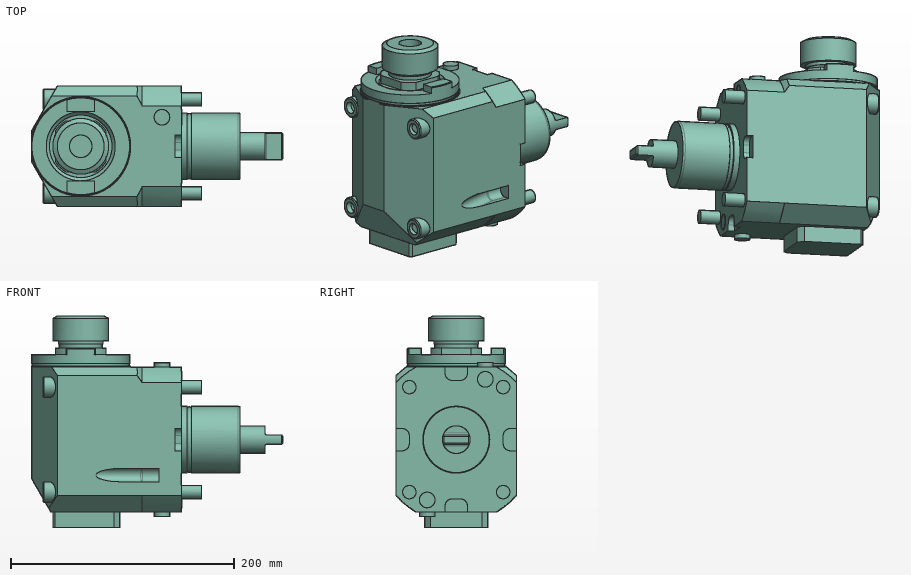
import cadquery as cq
import math


OVERALL_LENGTH = 225.0
OVERALL_HEIGHT = 189.56

HOUSING_LEFT = -44.0
MOUNT_X = 90.0
HALF_WIDTH = 54.0
HALF_HEIGHT = 65.0
FRONT_FLAT_HALF = 14.0
SLANT_ANGLE = 30.0
FRONT_SLOPE_HEIGHT = 30.0
EDGE_ANGLE = 40.0
TOP_BEVEL_HEIGHT = 7.5
BOTTOM_BEVEL_HEIGHT = 15.0
NECK_RADIUS = 74.4
NECK_START_X = 55.0

NOTCH_LENGTH = 5.6
NOTCH_WIDTH = 20.0
NOTCH_DEPTH = 12.0
NOTCH_CORNER_RADIUS = 6.5

GROOVE_RADIUS = 6.1
GROOVE_Z = -31.8
GROOVE_TIP_X = 13.7
GROOVE_BEND_X = 55.2
GROOVE_END_X = 70.2
GROOVE_TILT = 15.0

SCREW_Y = 42.0
SCREW_Z = 47.0
SCREW_HEAD_RADIUS = 9.2
SCREW_HEAD_X = -34.0
SCREW_HEAD_LENGTH = 14.0
SCREW_HEAD_CHAMFER = 1.0
SCREW_SOCKET_RADIUS = 5.2
SCREW_SOCKET_DEPTH = 5.5
SCREW_SOCKET_CONE = 3.0
SCREW_RADIUS = 6.0
SCREW_END_X = 108.2

PLUG_RADIUS = 7.0
PLUG_OFFSET_Y = 26.0
PLUG_X = 72.7
PLUG_PROUD = 4.0
END_PLUG_Z = 54.0
END_PLUG_PROUD = 0.6
EMBED_LENGTH = 5.0

SHANK_RADIUS = 30.0
SHANK_END_X = 142.6
SHANK_CHAMFER_LENGTH = 2.0
SHANK_CHAMFER_DEPTH = 0.5
RING_START_X = 95.3
RING_END_X = 99.1
RING_SIDE_RADIUS = 27.8
RING_CREST_RADIUS = 29.5
DRIVE_RADIUS = 12.4
DRIVE_SHOULDER_X = 165.0
TANG_THICKNESS = 8.6
TANG_CHAMFER = 1.3
TANG_END_X = HOUSING_LEFT + OVERALL_LENGTH
TANG_ROOT_FILLET = 1.5

FLANGE_RADIUS = 44.0
FLANGE_RIM_RADIUS = 44.7
FLANGE_RIM_TOP = 66.0
FLANGE_GROOVE_TOP = 68.0
FLANGE_GROOVE_RADIUS = 43.5
FLANGE_TOP = 76.0
RECESS_FLOOR_RADIUS = 28.0
RECESS_MOUTH_RADIUS = 30.9
RECESS_FLOOR = 73.0
KEY_WIDTH = 24.6
KEY_INNER_Y = 31.2
KEY_TOP = 82.0
KEY_CHAMFER = 0.7

NUT_RADIUS = 26.4
NUT_SEAT_Z = 74.5
NUT_FLATS = 45.6
NUT_TOP = KEY_TOP
UNDERCUT_RADIUS = 19.3
UNDERCUT_TOP = 85.5
COLLAR_RADIUS = 20.1
HEAD_BOTTOM = 88.4
HEAD_RADIUS = 25.0
HEAD_TOP = 110.75
HEAD_CHAMFER_WIDTH = 4.0
HEAD_CHAMFER_HEIGHT = 2.2
HEAD_BORE_RADIUS = 10.1
HEAD_BORE_DEPTH = 12.5

BASE_LEFT = -25.0
BASE_RIGHT = 35.0
BASE_HALF_WIDTH = 28.3
BASE_BOTTOM = HEAD_TOP - OVERALL_HEIGHT
BASE_LEFT_CHAMFER = 2.0
BASE_RIGHT_CHAMFER = 5.3


def cylinder_x(radius, x_start, x_end, y=0.0, z=0.0):
    """Cylinder along X between two X positions."""
    axis_start = cq.Vector(x_start, y, z)
    return cq.Workplane(cq.Solid.makeCylinder(radius, x_end - x_start, axis_start, cq.Vector(1, 0, 0)))


def cylinder_z(radius, z_start, z_end, x=0.0, y=0.0):
    """Cylinder along Z between two Z positions."""
    axis_start = cq.Vector(x, y, z_start)
    return cq.Workplane(cq.Solid.makeCylinder(radius, z_end - z_start, axis_start))


def make_plan_prism():
    """Housing outline seen along Z, with the two slanted -X faces."""
    slant_run = (HALF_WIDTH - FRONT_FLAT_HALF) * math.tan(math.radians(SLANT_ANGLE))
    slant_end_x = HOUSING_LEFT + slant_run
    outline = [
        (HOUSING_LEFT, -FRONT_FLAT_HALF),
        (slant_end_x, -HALF_WIDTH),
        (MOUNT_X, -HALF_WIDTH),
        (MOUNT_X, HALF_WIDTH),
        (slant_end_x, HALF_WIDTH),
        (HOUSING_LEFT, FRONT_FLAT_HALF),
    ]
    return (
        cq.Workplane("XY")
        .workplane(offset=-HALF_HEIGHT)
        .polyline(outline)
        .close()
        .extrude(2 * HALF_HEIGHT)
    )


def make_section_prism():
    """Housing cross-section seen along X: flat bottom bevels that turn round at the mounting end."""
    bevel_slope = math.tan(math.radians(EDGE_ANGLE))
    top_half = HALF_WIDTH - TOP_BEVEL_HEIGHT / bevel_slope
    bottom_half = HALF_WIDTH - BOTTOM_BEVEL_HEIGHT / bevel_slope
    top_bevel_z = HALF_HEIGHT - TOP_BEVEL_HEIGHT
    bottom_bevel_z = BOTTOM_BEVEL_HEIGHT - HALF_HEIGHT

    round_radius = (math.hypot(HALF_WIDTH, bottom_bevel_z) + math.hypot(bottom_half, HALF_HEIGHT)) / 2
    round_angle = math.atan2(bottom_bevel_z - HALF_HEIGHT, HALF_WIDTH + bottom_half)
    round_y = round_radius * math.cos(round_angle)
    round_z = round_radius * math.sin(round_angle)

    upper_outline = [
        (HALF_WIDTH, top_bevel_z),
        (top_half, HALF_HEIGHT),
        (-top_half, HALF_HEIGHT),
        (-HALF_WIDTH, top_bevel_z),
        (-HALF_WIDTH, bottom_bevel_z),
    ]
    bevelled = (
        cq.Workplane("YZ")
        .workplane(offset=HOUSING_LEFT)
        .moveTo(-bottom_half, -HALF_HEIGHT)
        .lineTo(bottom_half, -HALF_HEIGHT)
        .lineTo(HALF_WIDTH, bottom_bevel_z)
        .polyline(upper_outline, includeCurrent=True)
        .close()
        .extrude(NECK_START_X - HOUSING_LEFT)
    )
    rounded = (
        cq.Workplane("YZ")
        .workplane(offset=NECK_START_X)
        .moveTo(-bottom_half, -HALF_HEIGHT)
        .lineTo(bottom_half, -HALF_HEIGHT)
        .threePointArc((round_y, round_z), (HALF_WIDTH, bottom_bevel_z))
        .polyline(upper_outline, includeCurrent=True)
        .threePointArc((-round_y, round_z), (-bottom_half, -HALF_HEIGHT))
        .close()
        .extrude(MOUNT_X - NECK_START_X)
    )
    return bevelled.union(rounded)


def make_turned_envelope():
    """Round envelope about X that trims the corners at the mounting end."""
    corner_radius = math.hypot(HALF_WIDTH, HALF_HEIGHT)
    cone_length = corner_radius - NECK_RADIUS
    profile = [
        (HOUSING_LEFT, 0),
        (HOUSING_LEFT, corner_radius),
        (NECK_START_X - cone_length, corner_radius),
        (NECK_START_X, NECK_RADIUS),
        (MOUNT_X, NECK_RADIUS),
        (MOUNT_X, 0),
    ]
    return cq.Workplane("XY").polyline(profile).close().revolve(360, (0, 0, 0), (1, 0, 0))


def make_front_slope_cutter():
    """Wedge below the slope at the bottom of the -X end."""
    slope_run = FRONT_SLOPE_HEIGHT * math.tan(math.radians(SLANT_ANGLE))
    wedge = [
        (HOUSING_LEFT, -HALF_HEIGHT),
        (HOUSING_LEFT + slope_run, -HALF_HEIGHT),
        (HOUSING_LEFT, FRONT_SLOPE_HEIGHT - HALF_HEIGHT),
    ]
    return cq.Workplane("XZ").polyline(wedge).close().extrude(HALF_WIDTH, both=True)


def make_notch(rim_distance, turn):
    """Key notch in the mounting face rim; `turn` rotates it about X from the top."""
    notch = cq.Workplane("XY").box(
        NOTCH_LENGTH, NOTCH_WIDTH, NOTCH_DEPTH, centered=(False, True, False)
    ).translate((MOUNT_X - NOTCH_LENGTH, 0, rim_distance - NOTCH_DEPTH))
    notch = notch.edges("|X and <Z").fillet(NOTCH_CORNER_RADIUS)
    return notch.rotate((0, 0, 0), (1, 0, 0), turn)


def make_coolant_groove():
    """Round groove sinking into the -Y face, then running level to a flat end."""
    tilt = math.radians(GROOVE_TILT)
    axis_entry_x = GROOVE_TIP_X + GROOVE_RADIUS / math.sin(tilt)
    bend_y = (GROOVE_BEND_X - axis_entry_x) * math.tan(tilt) - HALF_WIDTH
    bend = cq.Vector(GROOVE_BEND_X, bend_y, GROOVE_Z)
    outward = cq.Vector(-math.cos(tilt), -math.sin(tilt), 0)
    sloped_length = 2 * (GROOVE_BEND_X - GROOVE_TIP_X)
    sloped = cq.Workplane(cq.Solid.makeCylinder(GROOVE_RADIUS, sloped_length, bend, outward))
    bend_ball = cq.Workplane("XY").sphere(GROOVE_RADIUS).translate(bend)
    level = cylinder_x(GROOVE_RADIUS, GROOVE_BEND_X, GROOVE_END_X, bend_y, GROOVE_Z)
    mouth = (
        cq.Workplane("XY")
        .workplane(offset=GROOVE_Z - GROOVE_RADIUS)
        .polyline([
            (axis_entry_x, -HALF_WIDTH),
            (GROOVE_BEND_X, bend_y),
            (GROOVE_END_X, bend_y),
            (GROOVE_END_X, -HALF_WIDTH),
        ])
        .close()
        .extrude(2 * GROOVE_RADIUS)
    )
    return sloped.union(bend_ball).union(level).union(mouth)


def make_housing():
    housing = make_plan_prism().intersect(make_section_prism()).intersect(make_turned_envelope())
    housing = housing.cut(make_front_slope_cutter())
    for rim_distance, turn in ((HALF_HEIGHT, 0), (HALF_WIDTH, 90), (HALF_HEIGHT, 180), (HALF_WIDTH, 270)):
        housing = housing.cut(make_notch(rim_distance, turn))
    return housing.cut(make_coolant_groove())


def make_base_block():
    """Block under the housing with bevelled vertical corners."""
    height = -HALF_HEIGHT - BASE_BOTTOM
    block = cq.Workplane("XY").box(
        BASE_RIGHT - BASE_LEFT, 2 * BASE_HALF_WIDTH, height, centered=(False, True, False)
    ).translate((BASE_LEFT, 0, BASE_BOTTOM))
    block = block.edges("|Z and <X").chamfer(BASE_LEFT_CHAMFER)
    return block.edges("|Z and >X").chamfer(BASE_RIGHT_CHAMFER)


def make_screw_head(y, z):
    """Cap screw head with a drilled recess, facing -X."""
    head = cylinder_x(SCREW_HEAD_RADIUS, SCREW_HEAD_X, SCREW_HEAD_X + SCREW_HEAD_LENGTH, y, z)
    head = head.faces("<X").edges().chamfer(SCREW_HEAD_CHAMFER)
    socket_end_x = SCREW_HEAD_X + SCREW_SOCKET_DEPTH
    socket = cylinder_x(SCREW_SOCKET_RADIUS, SCREW_HEAD_X, socket_end_x, y, z)
    drill_tip = cq.Workplane(cq.Solid.makeCone(
        SCREW_SOCKET_RADIUS, 0, SCREW_SOCKET_CONE, cq.Vector(socket_end_x, y, z), cq.Vector(1, 0, 0)
    ))
    return head.cut(socket).cut(drill_tip)


def add_screws(body):
    for y in (-SCREW_Y, SCREW_Y):
        for z in (-SCREW_Z, SCREW_Z):
            body = body.union(make_screw_head(y, z))
            body = body.union(cylinder_x(SCREW_RADIUS, MOUNT_X - EMBED_LENGTH, SCREW_END_X, y, z))
    return body


def add_plugs(body):
    """Plugs on opposite corners: +Y at the top, -Y at the bottom."""
    plug_inner = HALF_HEIGHT - EMBED_LENGTH
    plug_outer = HALF_HEIGHT + PLUG_PROUD
    body = body.union(cylinder_z(PLUG_RADIUS, plug_inner, plug_outer, PLUG_X, PLUG_OFFSET_Y))
    body = body.union(cylinder_z(PLUG_RADIUS, -plug_outer, -plug_inner, PLUG_X, -PLUG_OFFSET_Y))
    for side in (-1, 1):
        end_plug = cylinder_x(
            PLUG_RADIUS,
            MOUNT_X - EMBED_LENGTH,
            MOUNT_X + END_PLUG_PROUD,
            side * PLUG_OFFSET_Y,
            side * END_PLUG_Z,
        )
        body = body.union(end_plug)
    return body


def make_shank():
    """Round shank with a sealing ring, as one turned profile."""
    shank = (
        cq.Workplane("XY")
        .moveTo(MOUNT_X, 0)
        .lineTo(MOUNT_X, SHANK_RADIUS)
        .lineTo(RING_START_X, SHANK_RADIUS)
        .lineTo(RING_START_X, RING_SIDE_RADIUS)
        .threePointArc(
            ((RING_START_X + RING_END_X) / 2, RING_CREST_RADIUS),
            (RING_END_X, RING_SIDE_RADIUS),
        )
        .lineTo(RING_END_X, SHANK_RADIUS)
        .lineTo(SHANK_END_X - SHANK_CHAMFER_LENGTH, SHANK_RADIUS)
        .lineTo(SHANK_END_X, SHANK_RADIUS - SHANK_CHAMFER_DEPTH)
        .lineTo(SHANK_END_X, 0)
        .close()
        .revolve(360, (0, 0, 0), (1, 0, 0))
    )
    return shank.union(make_drive_shaft())


def make_drive_shaft():
    """Drive shaft milled to a flat tang at its end."""
    shaft = cylinder_x(DRIVE_RADIUS, SHANK_END_X, TANG_END_X)
    tang_length = TANG_END_X - DRIVE_SHOULDER_X
    flat_depth = DRIVE_RADIUS - TANG_THICKNESS / 2
    flat = cq.Workplane("XY").box(
        tang_length, 2 * DRIVE_RADIUS, flat_depth, centered=(False, True, False)
    ).translate((DRIVE_SHOULDER_X, 0, TANG_THICKNESS / 2))
    flat = flat.edges("|Y and <X and <Z").fillet(TANG_ROOT_FILLET)
    shaft = shaft.cut(flat).cut(flat.mirror("XY"))
    return shaft.faces(">X").edges().chamfer(TANG_CHAMFER)


def make_flange():
    """Spindle flange with a conical recess and two driving keys."""
    rim = cylinder_z(FLANGE_RIM_RADIUS, HALF_HEIGHT, FLANGE_RIM_TOP)
    rim = rim.intersect(make_plan_prism().translate((0, 0, HALF_HEIGHT)))
    groove = cylinder_z(FLANGE_GROOVE_RADIUS, FLANGE_RIM_TOP, FLANGE_GROOVE_TOP)
    disc = cylinder_z(FLANGE_RADIUS, FLANGE_GROOVE_TOP, FLANGE_TOP)
    keys = cylinder_z(FLANGE_RADIUS, FLANGE_TOP, KEY_TOP)
    key_strip = cq.Workplane("XY").box(KEY_WIDTH, 2 * FLANGE_RADIUS, KEY_TOP, centered=(True, True, False))
    key_gap = cq.Workplane("XY").box(KEY_WIDTH, 2 * KEY_INNER_Y, KEY_TOP, centered=(True, True, False))
    keys = keys.intersect(key_strip).cut(key_gap)
    keys = keys.edges("%CIRCLE and >Z").chamfer(KEY_CHAMFER)
    recess = cq.Workplane(cq.Solid.makeCone(
        RECESS_FLOOR_RADIUS,
        RECESS_MOUTH_RADIUS,
        FLANGE_TOP - RECESS_FLOOR,
        cq.Vector(0, 0, RECESS_FLOOR),
    ))
    return rim.union(groove).union(disc).cut(recess).union(keys)


def make_spindle():
    """Tool spindle: round seat, four-flat nut, undercut neck, and a bored round head."""
    seat = cylinder_z(RECESS_FLOOR_RADIUS, RECESS_FLOOR, NUT_SEAT_Z)
    nut = cylinder_z(NUT_RADIUS, NUT_SEAT_Z, NUT_TOP)
    nut = nut.intersect(cq.Workplane("XY").box(NUT_FLATS, NUT_FLATS, 2 * NUT_TOP))
    profile = [
        (0, NUT_TOP),
        (UNDERCUT_RADIUS, NUT_TOP),
        (UNDERCUT_RADIUS, UNDERCUT_TOP),
        (COLLAR_RADIUS, UNDERCUT_TOP),
        (COLLAR_RADIUS, HEAD_BOTTOM),
        (HEAD_RADIUS, HEAD_BOTTOM),
        (HEAD_RADIUS, HEAD_TOP - HEAD_CHAMFER_HEIGHT),
        (HEAD_RADIUS - HEAD_CHAMFER_WIDTH, HEAD_TOP),
        (HEAD_BORE_RADIUS, HEAD_TOP),
        (HEAD_BORE_RADIUS, HEAD_TOP - HEAD_BORE_DEPTH),
        (0, HEAD_TOP - HEAD_BORE_DEPTH),
    ]
    head = cq.Workplane("XZ").polyline(profile).close().revolve(360, (0, 0, 0), (0, 1, 0))
    return seat.union(nut).union(head)


body = make_housing()
body = body.union(make_base_block())
body = body.union(make_shank())
body = body.union(make_flange())
body = body.union(make_spindle())
body = add_screws(body)
result = add_plugs(body)